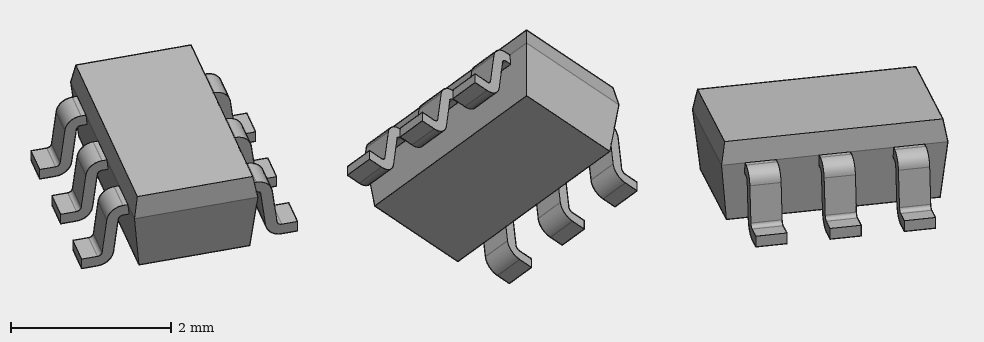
import cadquery as cq
import math

body_length = 2.9
body_width = 1.6
overall_height = 1.18
body_bottom = 0.075
parting_height = 0.882
top_inset = 0.052
bottom_inset = 0.08

lead_span = 2.8
lead_width = 0.4
lead_thickness = 0.15
lead_pitch = 0.95
leads_per_side = 3
inner_bend = 0.06
outer_bend = inner_bend + lead_thickness
foot_length = 0.205
shoulder_length = 0.065
lead_embed = 0.145


def body_half(end_height, inset):
    """Frustum from the parting plane to an inset rectangle at end_height."""
    return (
        cq.Workplane("XY", origin=(0, 0, parting_height))
        .rect(body_length, body_width)
        .workplane(offset=end_height - parting_height)
        .rect(body_length - 2 * inset, body_width - 2 * inset)
        .loft(ruled=True)
    )


def polar(center, radius, angle):
    return (center[0] + radius * math.cos(angle), center[1] + radius * math.sin(angle))


def make_lead():
    """Lead on the +Y side, centred on X = 0."""
    toe = lead_span / 2
    root = body_width / 2 - lead_embed
    upper = (body_width / 2 + shoulder_length, parting_height - outer_bend)
    lower = (toe - foot_length, outer_bend)

    run = lower[0] - upper[0]
    rise = upper[1] - lower[1]
    tilt = math.atan2(run, rise) - math.asin((inner_bend + outer_bend) / math.hypot(run, rise))

    upper_mid = (tilt + math.pi / 2) / 2
    lower_mid = upper_mid + math.pi
    shank_end = tilt + math.pi

    return (
        cq.Workplane("YZ", origin=(-lead_width / 2, 0, 0))
        .moveTo(root, parting_height)
        .lineTo(upper[0], parting_height)
        .threePointArc(polar(upper, outer_bend, upper_mid), polar(upper, outer_bend, tilt))
        .lineTo(*polar(lower, inner_bend, shank_end))
        .threePointArc(polar(lower, inner_bend, lower_mid), (lower[0], lead_thickness))
        .lineTo(toe, lead_thickness)
        .lineTo(toe, 0)
        .lineTo(lower[0], 0)
        .threePointArc(polar(lower, outer_bend, lower_mid), polar(lower, outer_bend, shank_end))
        .lineTo(*polar(upper, inner_bend, tilt))
        .threePointArc(
            polar(upper, inner_bend, upper_mid),
            (upper[0], parting_height - lead_thickness),
        )
        .lineTo(root, parting_height - lead_thickness)
        .close()
        .extrude(lead_width)
    )


result = body_half(overall_height, top_inset).union(body_half(body_bottom, bottom_inset))

lead = make_lead()
opposite_lead = lead.mirror("XZ")
for index in range(leads_per_side):
    x = (index - (leads_per_side - 1) / 2) * lead_pitch
    result = result.union(lead.translate((x, 0, 0)))
    result = result.union(opposite_lead.translate((x, 0, 0)))